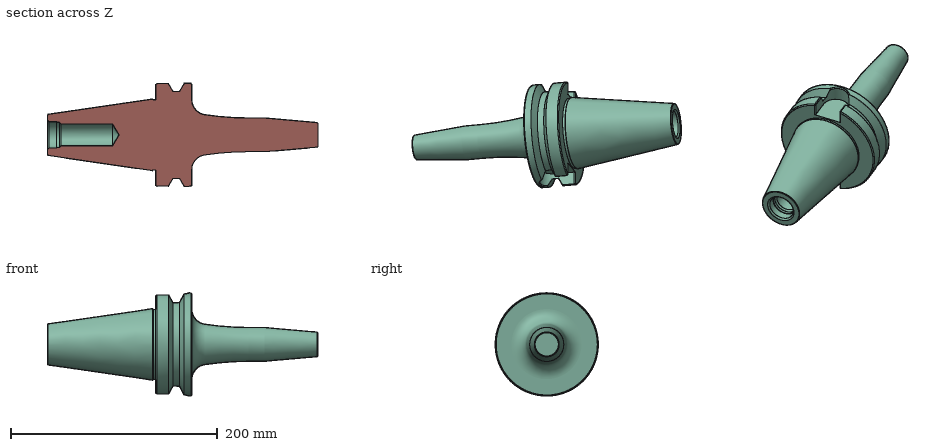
import cadquery as cq
import math

total_length = 261.8
gauge_x = 101.8
flange_start = 104.7
flange_end = 139.8

gauge_radius = 34.8
taper_slope = 7 / 48
small_end_radius = gauge_radius - gauge_x * taper_slope
small_end_chamfer = 0.5
relief_radius = 34.0
relief_start = 102.4

flange_radius = 50.0
flange_chamfer = 1.0
groove_radius = 42.5
groove_floor_start = 121.5
groove_floor_end = 127.8
groove_flank = (flange_radius - groove_radius) * math.tan(math.radians(30))

root_end = 152.0
nose_start = 194.8
cone_start = 210.5
nose_radius = 16.5
tip_radius = 12.0
tip_chamfer = 0.8
sweep_radius = 288.0
sweep_angle = math.asin((nose_start - root_end) / sweep_radius)
root_end_radius = nose_radius + sweep_radius * (1 - math.cos(sweep_angle))
root_fillet = (root_end - flange_end) / (1 - math.sin(sweep_angle))
root_start_radius = root_end_radius + root_fillet * math.cos(sweep_angle)

slot_width = 25.7
slot_floor = 35.3
slot_end = 136.1
slot_edge_chamfer = 1.0

bore_mouth_radius = 14.1
counterbore_radius = 12.5
counterbore_depth = 9.0
thread_radius = 12.0
thread_relief_end = 11.5
core_radius = 10.5
core_depth = 62.8
drill_point_half_angle = 59


def arc_midpoint(center_x, center_r, radius, angle):
    """Point on an arc of the profile, measured from the inward (-r) direction toward -X."""
    return (center_x - radius * math.sin(angle), center_r - radius * math.cos(angle))


def make_body():
    root_mid = arc_midpoint(
        flange_end + root_fillet, root_start_radius, root_fillet, (sweep_angle + math.pi / 2) / 2
    )
    sweep_mid = arc_midpoint(nose_start, nose_radius + sweep_radius, sweep_radius, sweep_angle / 2)
    profile = (
        cq.Workplane("XY")
        .moveTo(0, 0)
        .lineTo(0, small_end_radius - small_end_chamfer)
        .lineTo(small_end_chamfer, small_end_radius + small_end_chamfer * taper_slope)
        .lineTo(gauge_x, gauge_radius)
        .lineTo(relief_start, relief_radius)
        .lineTo(flange_start, relief_radius)
        .lineTo(flange_start, flange_radius - flange_chamfer)
        .lineTo(flange_start + flange_chamfer, flange_radius)
        .lineTo(groove_floor_start - groove_flank, flange_radius)
        .lineTo(groove_floor_start, groove_radius)
        .lineTo(groove_floor_end, groove_radius)
        .lineTo(groove_floor_end + groove_flank, flange_radius)
        .lineTo(flange_end - flange_chamfer, flange_radius)
        .lineTo(flange_end, flange_radius - flange_chamfer)
        .lineTo(flange_end, root_start_radius)
        .threePointArc(root_mid, (root_end, root_end_radius))
        .threePointArc(sweep_mid, (nose_start, nose_radius))
        .lineTo(cone_start, nose_radius)
        .lineTo(total_length - tip_chamfer, tip_radius)
        .lineTo(total_length, tip_radius - tip_chamfer)
        .lineTo(total_length, 0)
        .close()
    )
    return profile.revolve(360, (0, 0, 0), (1, 0, 0))


def make_bore():
    mouth_depth = bore_mouth_radius - counterbore_radius
    core_start = thread_relief_end + thread_radius - core_radius
    point_length = core_radius / math.tan(math.radians(drill_point_half_angle))
    profile = cq.Workplane("XY").polyline([
        (0, 0),
        (0, bore_mouth_radius),
        (mouth_depth, counterbore_radius),
        (counterbore_depth, counterbore_radius),
        (counterbore_depth, thread_radius),
        (thread_relief_end, thread_radius),
        (core_start, core_radius),
        (core_depth, core_radius),
        (core_depth + point_length, 0),
    ]).close()
    return profile.revolve(360, (0, 0, 0), (1, 0, 0))


def make_slot():
    """Round-ended drive slot, open toward the taper, cut down to the slot floor on +Z."""
    half_width = slot_width / 2
    arc_start = slot_end - half_width
    return (
        cq.Workplane("XY", origin=(0, 0, slot_floor))
        .moveTo(flange_start, -half_width)
        .lineTo(arc_start, -half_width)
        .threePointArc((slot_end, 0), (arc_start, half_width))
        .lineTo(flange_start, half_width)
        .close()
        .extrude(flange_radius - slot_floor)
    )


def is_slot_rim_edge(edge):
    """True where a slot wall meets the front face, the front land or the rear land of the flange."""
    tolerance = 0.03
    center = edge.Center()
    height = abs(center.z)
    on_side_wall = abs(abs(center.y) - slot_width / 2) < tolerance
    on_front_face = abs(center.x - flange_start) < tolerance
    land_end = groove_floor_start - groove_flank
    on_front_land = flange_start < center.x < land_end and height > slot_floor + tolerance
    on_rear_land = groove_floor_end + groove_flank < center.x < flange_end and height > groove_radius
    on_round_end = abs(center.y) < tolerance and on_rear_land
    return (on_side_wall and (on_front_face or on_front_land)) or on_round_end


slot = make_slot()
slotted_body = make_body().cut(make_bore()).cut(slot).cut(slot.mirror("XY"))
rim_edges = [edge for edge in slotted_body.edges().vals() if is_slot_rim_edge(edge)]
result = slotted_body.newObject(rim_edges).chamfer(slot_edge_chamfer)